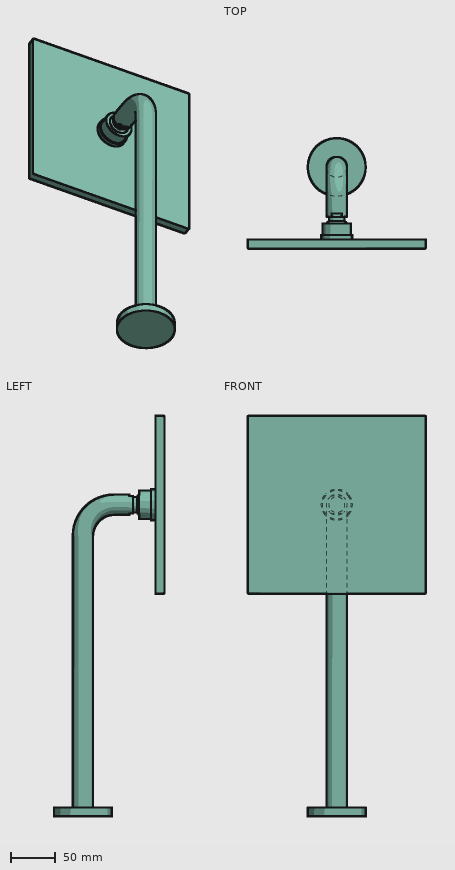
import cadquery as cq

panel_side = 199.4
panel_thickness = 10.5
panel_corner_radius = 2.0
panel_rim_radius = 1.99

base_diameter = 65.0
base_thickness = 10.0
base_edge_radius = 1.0

overall_height = 448.2
overall_depth = 123.95

tube_diameter = 23.0
bend_radius = 35.0
tube_end = 43.3

collar_end = 55.8
collar_edge_radius = 1.5
neck_diameter = 17.6
neck_end = 60.4
flare_diameter = 23.0
cup_start = 63.0
cup_diameter = 32.2
flange_start = 76.0
flange_diameter = 34.8

flat_width = 11.8
flat_start = 52.0

panel_center_z = overall_height - panel_side / 2
panel_front = overall_depth - base_diameter / 2
panel_back = panel_front - panel_thickness
bend_start_z = panel_center_z - bend_radius


def make_base():
    """Base disc with a rounded top rim."""
    disc = cq.Workplane("XY").circle(base_diameter / 2).extrude(base_thickness)
    return disc.faces(">Z").edges().fillet(base_edge_radius)


def make_tube():
    """Vertical post that bends a quarter turn towards -Y."""
    path = (
        cq.Workplane("YZ")
        .moveTo(0, base_thickness)
        .lineTo(0, bend_start_z)
        .radiusArc((-bend_radius, panel_center_z), -bend_radius)
        .lineTo(-tube_end, panel_center_z)
    )
    section = cq.Workplane("XY", origin=(0, 0, base_thickness)).circle(tube_diameter / 2)
    return section.sweep(path)


def make_joint():
    """Collar, neck, flare, cup and flange, turned about the panel's normal."""
    collar_radius = tube_diameter / 2
    cup_radius = cup_diameter / 2
    flange_radius = flange_diameter / 2
    profile = (
        cq.Workplane("XY", origin=(0, 0, panel_center_z))
        .moveTo(0, -tube_end)
        .lineTo(collar_radius, -tube_end)
        .lineTo(collar_radius, -collar_end + collar_edge_radius)
        .radiusArc((collar_radius - collar_edge_radius, -collar_end), collar_edge_radius)
        .lineTo(neck_diameter / 2, -collar_end)
        .lineTo(neck_diameter / 2, -neck_end)
        .lineTo(flare_diameter / 2, -cup_start)
        .lineTo(cup_radius, -cup_start)
        .lineTo(cup_radius, -flange_start)
        .lineTo(flange_radius, -flange_start)
        .lineTo(flange_radius, -panel_back)
        .lineTo(0, -panel_back)
        .close()
    )
    return profile.revolve(360, (0, 0, 0), (0, 1, 0))


def cut_wrench_flats(joint):
    """Plane the top and bottom of the collar's free end flat."""
    collar_radius = tube_diameter / 2
    flat_height = (collar_radius**2 - (flat_width / 2) ** 2) ** 0.5
    flat_length = collar_end - flat_start
    cutter_height = collar_radius - flat_height
    for side in (1, -1):
        cutter_z = panel_center_z + side * (flat_height + collar_radius) / 2
        cutter = cq.Workplane("XY").box(tube_diameter, flat_length, cutter_height)
        joint = joint.cut(cutter.translate((0, -(flat_start + collar_end) / 2, cutter_z)))
    return joint


def make_panel():
    """Square panel with rounded corners and a rounded front rim; its back rim is sharp."""
    panel = cq.Workplane("XY").box(panel_side, panel_thickness, panel_side)
    panel = panel.edges("|Y").fillet(panel_corner_radius)
    panel = panel.faces("<Y").edges().fillet(panel_rim_radius)
    return panel.translate((0, -(panel_front + panel_back) / 2, panel_center_z))


joint = cut_wrench_flats(make_joint())
result = make_base().union(make_tube()).union(joint).union(make_panel())